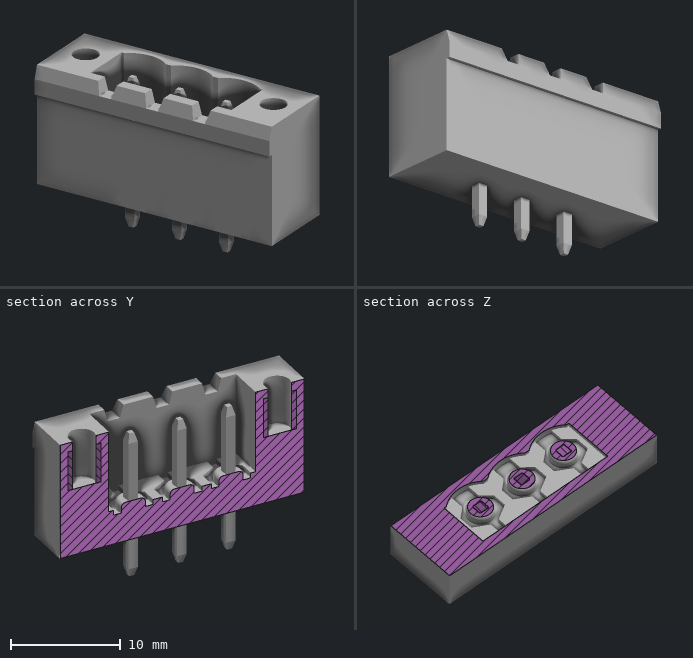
import cadquery as cq


length = 25.4
height = 12.0
back_y = 3.8
lip_y = -4.7
lip_overhang = 0.4
lip_height = 2.85
lip_chamfer_height = 1.3
front_y = lip_y + lip_overhang

pitch = 5.08
contact_count = 3
contact_xs = [(i - (contact_count - 1) / 2) * pitch for i in range(contact_count)]
screw_xs = [contact_xs[0] - pitch, contact_xs[-1] + pitch]

cavity_length = contact_count * pitch
cavity_depth = 8.38
cavity_front_y = -3.18
cavity_back_y = 2.1
bay_back_y = 2.92
bay_width = 4.57
cavity_floor_z = height - cavity_depth

recess_depth = 0.5
recess_half_width = 2.05
recess_back_channel_half_width = 1.02
recess_front_channel_half_width = 0.48
recess_back_shoulder_y = 1.35
recess_side_back_y = 0.45
recess_side_front_y = -1.07
recess_front_shoulder_y = -1.98
recess_floor_z = cavity_floor_z - recess_depth

boss_diameter = 2.75
boss_height = 1.02
boss_fillet = 0.48

notch_top_width = 2.0
notch_bottom_width = 1.27
notch_depth = lip_chamfer_height

pin_width = 1.0
pin_tip_width = 0.5
pin_tip_length = 0.91
pin_protrusion = 4.01
pin_top_gap = 0.97
pin_bottom_z = -pin_protrusion
pin_top_z = height - pin_top_gap

screw_hole_diameter = 2.6
insert_diameter = 3.55
insert_length = 4.01
insert_top_depth = 1.0
insert_bottom_z = height - insert_top_depth - insert_length


def make_block():
    """Housing outline in the YZ plane, extruded along the full length."""
    profile = [
        (back_y, 0),
        (back_y, height),
        (front_y, height),
        (lip_y, height - lip_chamfer_height),
        (lip_y, height - lip_height),
        (front_y, height - lip_height),
        (front_y, 0),
    ]
    return cq.Workplane("YZ").polyline(profile).close().extrude(length / 2, both=True)


def cavity_shape(bottom_z):
    """Plug cavity outline, extruded from bottom_z to the top face."""
    half_length = cavity_length / 2
    outline = (
        cq.Workplane("XY", origin=(0, 0, bottom_z))
        .moveTo(half_length, cavity_front_y)
        .lineTo(-half_length, cavity_front_y)
        .lineTo(-half_length, cavity_back_y)
    )
    for x in contact_xs:
        outline = outline.lineTo(x - bay_width / 2, cavity_back_y).threePointArc(
            (x, bay_back_y), (x + bay_width / 2, cavity_back_y)
        )
    return outline.lineTo(half_length, cavity_back_y).close().extrude(height - bottom_z)


def floor_recess(x):
    """Keyhole recess, limited at the back by the curved wall of the cavity bay."""
    right_side = [
        (recess_back_channel_half_width, bay_back_y),
        (recess_back_channel_half_width, recess_back_shoulder_y),
        (recess_half_width, recess_side_back_y),
        (recess_half_width, recess_side_front_y),
        (recess_front_channel_half_width, recess_front_shoulder_y),
        (recess_front_channel_half_width, cavity_front_y),
    ]
    left_side = [(-px, py) for px, py in reversed(right_side)]
    keyhole = (
        cq.Workplane("XY", origin=(x, 0, recess_floor_z))
        .polyline(right_side + left_side)
        .close()
        .extrude(recess_depth)
    )
    return keyhole.intersect(cavity_shape(recess_floor_z))


def contact_boss(x):
    return (
        cq.Workplane("XY", origin=(x, 0, recess_floor_z))
        .circle(boss_diameter / 2)
        .extrude(boss_height)
        .faces(">Z")
        .edges()
        .fillet(boss_fillet)
    )


def keying_notch(x):
    """Trapezoid cut from the cavity out through the lip."""
    profile = [
        (-notch_top_width / 2, height),
        (notch_top_width / 2, height),
        (notch_bottom_width / 2, height - notch_depth),
        (-notch_bottom_width / 2, height - notch_depth),
    ]
    return (
        cq.Workplane("XZ", origin=(x, cavity_front_y, 0))
        .polyline(profile)
        .close()
        .extrude(cavity_front_y - lip_y)
    )


def screw_hole(x):
    """Hole from the top face, widened below to seat the insert."""
    seat = (
        cq.Workplane("XY", origin=(x, 0, insert_bottom_z))
        .circle(insert_diameter / 2)
        .extrude(insert_length)
    )
    entry = (
        cq.Workplane("XY", origin=(x, 0, insert_bottom_z + insert_length))
        .circle(screw_hole_diameter / 2)
        .extrude(insert_top_depth)
    )
    return seat.union(entry)


def make_pin(x):
    """Straight square pin with a pyramid-shaped taper at both ends."""
    shank_bottom_z = pin_bottom_z + pin_tip_length
    shank_top_z = pin_top_z - pin_tip_length
    pin = (
        cq.Workplane("XY", origin=(x, 0, shank_bottom_z))
        .rect(pin_width, pin_width)
        .extrude(shank_top_z - shank_bottom_z)
    )
    for shank_end_z, direction in ((shank_bottom_z, -1), (shank_top_z, 1)):
        tip = (
            cq.Workplane("XY", origin=(x, 0, shank_end_z))
            .rect(pin_width, pin_width)
            .workplane(offset=direction * pin_tip_length)
            .rect(pin_tip_width, pin_tip_width)
            .loft(ruled=True)
        )
        pin = pin.union(tip)
    return pin


def make_insert(x):
    return (
        cq.Workplane("XY", origin=(x, 0, insert_bottom_z))
        .circle(insert_diameter / 2)
        .circle(screw_hole_diameter / 2)
        .extrude(insert_length)
    )


def make_housing(pins):
    housing = make_block().cut(cavity_shape(cavity_floor_z))
    for x in contact_xs:
        housing = housing.cut(floor_recess(x)).union(contact_boss(x)).cut(keying_notch(x))
    for x in screw_xs:
        housing = housing.cut(screw_hole(x))
    for pin in pins:
        housing = housing.cut(pin)
    return housing


pins = [make_pin(x) for x in contact_xs]
inserts = [make_insert(x) for x in screw_xs]
housing = make_housing(pins)

result = cq.Compound.makeCompound(
    [
        housing.solids().val(),
        *[pin.solids().val() for pin in pins],
        *[insert.val() for insert in inserts],
    ]
)